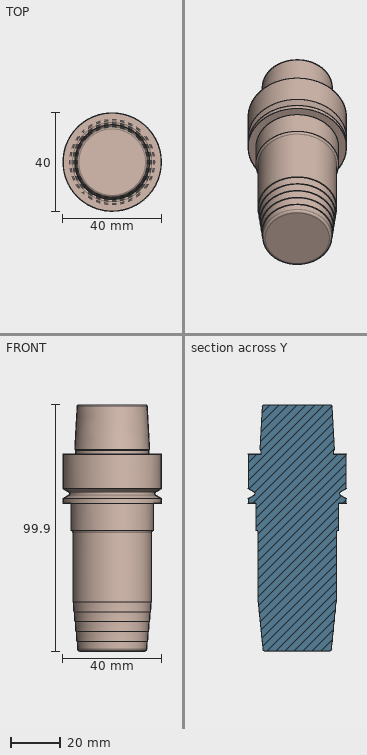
import cadquery as cq
import math

total_height = 99.9
flange_top = 79.9
flange_bottom = 59.9
shoulder_bottom = 49.0
nose_top = 20.0
nose_bands = 5
nose_ledge = 0.2

flange_radius = 20.0
shoulder_radius = 16.8
body_radius = 16.0
nose_tip_radius = 14.0
nose_edge_fillet = 1.0
shoulder_fillet = shoulder_radius - body_radius

taper_top_radius = 14.2
taper_base_radius = 15.2
taper_base = 81.9
taper_edge_fillet = 0.7
neck_radius = 14.9
neck_top = 81.4

recess_radius = 16.1
recess_depth = 0.1

groove_height = 63.9
groove_half_width = 2.0
groove_flank_angle = 30.0
groove_root_radius = 0.76


def groove_root():
    """Return the half height, end radius and deepest radius of the rounded groove root."""
    angle = math.radians(groove_flank_angle)
    half_height = groove_root_radius * math.cos(angle)
    end_radius = flange_radius - (groove_half_width - half_height) / math.tan(angle)
    deepest_radius = end_radius - groove_root_radius * (1 - math.sin(angle))
    return half_height, end_radius, deepest_radius


def add_nose(profile):
    """Draw the nose from the tip upwards: tapered bands of equal height, each ending in a small ledge."""
    band_height = nose_top / nose_bands
    band_growth = (body_radius - nose_tip_radius) / nose_bands
    for band in range(1, nose_bands + 1):
        next_radius = nose_tip_radius + band * band_growth
        profile = profile.lineTo(next_radius - nose_ledge, band * band_height)
        profile = profile.lineTo(next_radius, band * band_height)
    return profile


def add_groove(profile):
    """Draw the V groove with its rounded root, from its lower edge upwards."""
    half_height, end_radius, deepest_radius = groove_root()
    return (
        profile.lineTo(flange_radius, groove_height - groove_half_width)
        .lineTo(end_radius, groove_height - half_height)
        .radiusArc((deepest_radius, groove_height), groove_root_radius)
        .radiusArc((end_radius, groove_height + half_height), groove_root_radius)
        .lineTo(flange_radius, groove_height + groove_half_width)
    )


profile = cq.Workplane("XZ").lineTo(nose_tip_radius, 0)
profile = add_nose(profile)
profile = (
    profile.lineTo(body_radius, shoulder_bottom - shoulder_fillet)
    .radiusArc((shoulder_radius, shoulder_bottom), shoulder_fillet)
    .lineTo(shoulder_radius, flange_bottom)
    .lineTo(flange_radius, flange_bottom)
)
profile = add_groove(profile)
profile = (
    profile.lineTo(flange_radius, flange_top)
    .lineTo(recess_radius, flange_top)
    .lineTo(neck_radius, flange_top - recess_depth)
    .lineTo(neck_radius, neck_top)
    .lineTo(taper_base_radius, taper_base)
    .lineTo(taper_top_radius, total_height)
    .lineTo(0, total_height)
    .close()
)

result = profile.revolve(360, (0, 0, 0), (0, 1, 0))
result = result.faces(">Z").edges().fillet(taper_edge_fillet)
result = result.faces("<Z").edges().fillet(nose_edge_fillet)